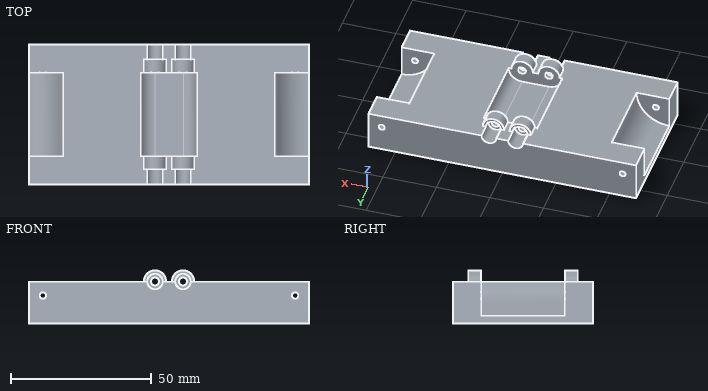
import cadquery as cq

length = 100.0
width = 50.0
height = 15.0

recess_width = 29.8
end_recess_radius = 12.2

end_pin_diameter = 2.2
end_pin_inset = 5.0
end_pin_z = 10.0

hinge_x = 5.0
hinge_recess_radius = 5.0
knuckle_radius = 4.0
knuckle_length = 4.7
hinge_pin_diameter = 2.8
head_diameter = 5.5
head_recess_depth = 2.7


def rod(x, z, radius, y_start, y_end):
    """Solid cylinder along Y between two Y positions."""
    return cq.Workplane("XZ", origin=(x, y_start, z)).circle(radius).extrude(y_start - y_end)


recess_end = recess_width / 2
knuckle_end = recess_end + knuckle_length
side = width / 2
head_seat = knuckle_end - head_recess_depth

body = cq.Workplane("XY").box(length, width, height, centered=(True, True, False))

body = body.cut(
    cq.Workplane("XY", origin=(0, 0, height - hinge_recess_radius))
    .box(2 * hinge_x, recess_width, hinge_recess_radius, centered=(True, True, False))
)
for x in (-hinge_x, hinge_x):
    body = body.cut(rod(x, height, hinge_recess_radius, -recess_end, recess_end))

for x in (-length / 2, length / 2):
    body = body.cut(rod(x, height, end_recess_radius, -recess_end, recess_end))

for x in (-hinge_x, hinge_x):
    body = body.union(rod(x, height, knuckle_radius, -knuckle_end, -recess_end))
    body = body.union(rod(x, height, knuckle_radius, recess_end, knuckle_end))

for x in (-hinge_x, hinge_x):
    body = body.cut(rod(x, height, hinge_pin_diameter / 2, -side, side))
    body = body.cut(rod(x, height, head_diameter / 2, -side, -head_seat))
    body = body.cut(rod(x, height, head_diameter / 2, head_seat, side))

end_pin_x = length / 2 - end_pin_inset
for x in (-end_pin_x, end_pin_x):
    body = body.cut(rod(x, end_pin_z, end_pin_diameter / 2, -side, side))

result = body